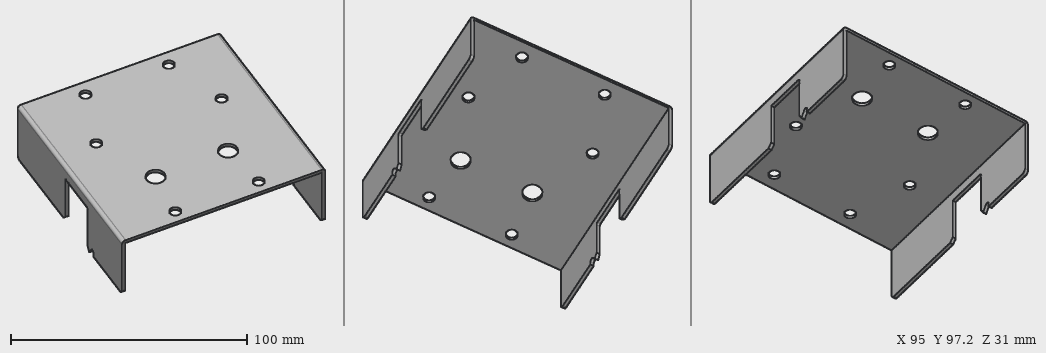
import cadquery as cq
import math

length = 95.0
width = 97.2
height = 31.0
thickness = 1.7
bend_radius = 1.75
flange_bottom = -30.3
corner_radius = 1.9

window_left = -3.9
window_right = 16.1
window_top = -6.6
window_corner_radius = 0.8
lead_in = 1.9
tooth_tip_x = 17.7
notch_right = 21.5
notch_radius = 1.1
notch_top = -27.4

small_hole = 5.2
large_hole = 8.6
hole_pairs = [
    (-40.3, 19.9, small_hole),
    (41.4, 19.9, small_hole),
    (-11.5, 29.9, small_hole),
    (18.5, 17.3, large_hole),
]


def channel():
    """Bent sheet: a top plate with two flanges, rounded on the outside of the bends."""
    outer = cq.Workplane("XY").box(length, width, height, centered=(True, True, False))
    outer = outer.translate((0, 0, -height)).edges("|X and >Z").fillet(bend_radius)
    inner = cq.Workplane("XY").box(length, width - 2 * thickness, height, centered=(True, True, False))
    return outer.cut(inner.translate((0, 0, -height - thickness)))


def flange_outline():
    """Side outline shared by both flanges, extruded across the full width."""
    half = length / 2
    tooth_tip = (tooth_tip_x, -height)
    lead_in_z = flange_bottom + lead_in
    notch_x = notch_right - notch_radius
    notch_z = notch_top - notch_radius

    run = notch_x - tooth_tip_x
    rise = notch_z + height
    tangent_angle = math.atan2(-rise, -run) - math.acos(notch_radius / math.hypot(run, rise))
    tangent_point = (
        notch_x + notch_radius * math.cos(tangent_angle),
        notch_z + notch_radius * math.sin(tangent_angle),
    )

    diagonal = math.sqrt(0.5)
    corner_inset = corner_radius * (1 - diagonal)
    window_inset = window_corner_radius * (1 - diagonal)
    return (
        cq.Workplane("XZ")
        .moveTo(-half, 0)
        .lineTo(-half, flange_bottom + corner_radius)
        .threePointArc(
            (-half + corner_inset, flange_bottom + corner_inset),
            (-half + corner_radius, flange_bottom),
        )
        .lineTo(window_left - lead_in, flange_bottom)
        .lineTo(window_left, lead_in_z)
        .lineTo(window_left, window_top)
        .lineTo(window_right - window_corner_radius, window_top)
        .threePointArc(
            (window_right - window_inset, window_top - window_inset),
            (window_right, window_top - window_corner_radius),
        )
        .lineTo(window_right, lead_in_z)
        .lineTo(*tooth_tip)
        .lineTo(*tangent_point)
        .threePointArc((notch_x, notch_top), (notch_right, notch_z))
        .lineTo(notch_right, flange_bottom)
        .lineTo(half - corner_radius, flange_bottom)
        .threePointArc(
            (half - corner_inset, flange_bottom + corner_inset),
            (half, flange_bottom + corner_radius),
        )
        .lineTo(half, 0)
        .close()
        .extrude(width / 2, both=True)
    )


def plate_holes():
    """Cylinders that pierce the top plate."""
    holes = cq.Workplane("XY")
    for x, offset, diameter in hole_pairs:
        pair = cq.Workplane("XY").pushPoints([(x, offset), (x, -offset)])
        holes = holes.add(pair.circle(diameter / 2).extrude(-thickness))
    return holes.combine()


result = channel().intersect(flange_outline()).cut(plate_holes())